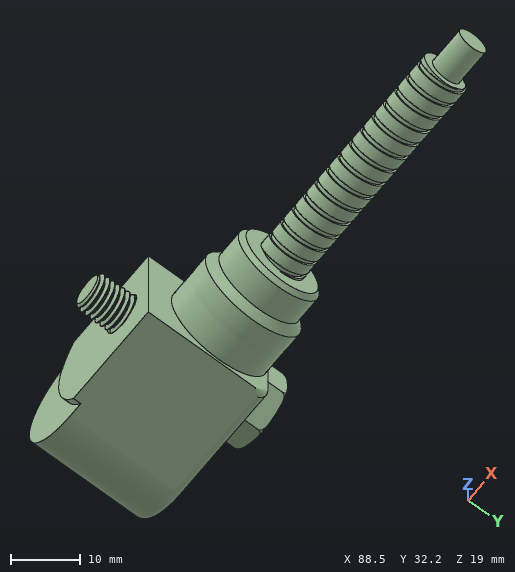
import cadquery as cq
import math


overall_length = 88.5
block_height = 19.0
block_length = 29.5
nose_radius = block_height / 2
nose_tip_x = -23.4
nose_center_x = nose_tip_x + nose_radius
block_end_x = nose_tip_x + block_length
back_y = 8.85
block_depth = 21.8
front_y = back_y - block_depth
back_fillet = 1.3
corner_radius = 2.2
faded_corner_radius = 0.1
corner_fade_length = 2.2

pad_radius = 14.8
pad_height = 1.3
bolt_hole_diameter = 6.7

neck_diameter = 17.4
ring_diameter = 17.5
collar_diameter = 14.8
neck_length = 4.4
ring_taper_length = 0.8
ring_length = 2.7
shoulder_length = (ring_diameter - collar_diameter) / 2
collar_length = 5.3
collar_chamfer = 0.8

conduit_diameter = 7.9
conduit_length = 38.15
spiral_pitch = 2.65
spiral_width = 0.7
spiral_depth = 0.35
spiral_phase = 1.1
cable_diameter = 5.0

lead_turns = 2
blank_margin_turns = 3

head_across_flats = 11.2
head_height = 4.0
head_rounding = 1.0
thread_diameter = 6.4
thread_root_diameter = 5.1
thread_length = 6.4
thread_turns = 7
thread_pitch = thread_length / thread_turns
thread_root_flat = thread_pitch / 8
thread_crest_flat = thread_pitch / 8
thread_phase = 0.59
bolt_tip_chamfer = 0.7


def grooved_rod(finished_rod, radius, root_radius, pitch, root_width, outer_width, start, length):
    """Cut a right-handed groove into a rod along +Z that ends at height `length`.

    The groove is centred on the XZ half-plane at height `start`. It is cut into a longer blank
    that is then trimmed to `finished_rod`, so that the groove runs cleanly off the end.
    """
    turns = (length - start) / pitch + lead_turns
    margin = blank_margin_turns * pitch
    blank_start = min(start, 0) - margin
    blank_end = start + turns * pitch + margin
    blank = (
        cq.Workplane("XY", origin=(0, 0, blank_start))
        .circle(radius)
        .extrude(blank_end - blank_start)
    )
    overshoot = 0.1
    slope = (outer_width - root_width) / (radius - root_radius)
    tip_radius = radius + overshoot
    tip_width = outer_width + slope * overshoot
    section = cq.Workplane("XZ").polyline([
        (root_radius, -root_width / 2),
        (tip_radius, -tip_width / 2),
        (tip_radius, tip_width / 2),
        (root_radius, root_width / 2),
    ]).close()
    helix = cq.Wire.makeHelix(pitch, pitch * turns, root_radius)
    groove = section.sweep(cq.Workplane(obj=helix), isFrenet=True).translate((0, 0, start))
    return blank.cut(groove).intersect(finished_rod)


def corner_waste_outline(radius, y, side):
    """Outline, at depth y, of the waste outside a rounding of the +X corner at the top or bottom."""
    corner_z = side * block_height / 2
    center_x = block_end_x - radius
    center_z = corner_z - side * radius
    mid_reach = radius * math.sqrt(0.5)
    arc_start = cq.Vector(center_x, y, corner_z)
    arc_middle = cq.Vector(center_x + mid_reach, y, center_z + side * mid_reach)
    arc_end = cq.Vector(block_end_x, y, center_z)
    corner = cq.Vector(block_end_x, y, corner_z)
    return cq.Wire.assembleEdges([
        cq.Edge.makeThreePointArc(arc_start, arc_middle, arc_end),
        cq.Edge.makeLine(arc_end, corner),
        cq.Edge.makeLine(corner, arc_start),
    ])


def make_corner_cutter(side):
    """Waste of a corner rounding that is full at the back face and fades out along -Y."""
    full = corner_waste_outline(corner_radius, back_y, side)
    faded = corner_waste_outline(faded_corner_radius, back_y - corner_fade_length, side)
    return cq.Workplane(obj=cq.Solid.makeLoft([full, faded], True))


def make_block():
    block = (
        cq.Workplane("XZ", origin=(0, back_y, 0))
        .moveTo(block_end_x, nose_radius)
        .lineTo(nose_center_x, nose_radius)
        .threePointArc((nose_tip_x, 0), (nose_center_x, -nose_radius))
        .lineTo(block_end_x, -nose_radius)
        .close()
        .extrude(block_depth)
        .faces(">Y")
        .edges("not(>X)")
        .fillet(back_fillet)
    )
    step = (
        cq.Workplane("XZ", origin=(0, front_y + pad_height, 0))
        .rect(2 * overall_length, 2 * block_height)
        .circle(pad_radius)
        .extrude(pad_height)
    )
    block = block.cut(step)
    for side in (1, -1):
        block = block.cut(make_corner_cutter(side))
    return block


def make_cable_entry():
    """Turned neck, ring and collar on the flat end of the block, and the X where they end."""
    neck_end = block_end_x + neck_length
    ring_start = neck_end + ring_taper_length
    ring_end = ring_start + ring_length
    collar_start = ring_end + shoulder_length
    collar_end = collar_start + collar_length
    entry = (
        cq.Workplane("XY")
        .moveTo(block_end_x, 0)
        .lineTo(block_end_x, neck_diameter / 2)
        .lineTo(neck_end, neck_diameter / 2)
        .lineTo(ring_start, ring_diameter / 2)
        .lineTo(ring_end, ring_diameter / 2)
        .lineTo(collar_start, collar_diameter / 2)
        .lineTo(collar_end, collar_diameter / 2)
        .lineTo(collar_end, 0)
        .close()
        .revolve(360, (0, 0, 0), (1, 0, 0))
        .faces(">X")
        .edges()
        .chamfer(collar_chamfer)
    )
    return entry, collar_end


def make_conduit(start_x):
    radius = conduit_diameter / 2
    conduit = cq.Workplane("XY").circle(radius).extrude(conduit_length)
    grooved = grooved_rod(
        conduit, radius, radius - spiral_depth, spiral_pitch, spiral_width, spiral_width,
        spiral_phase - lead_turns * spiral_pitch, conduit_length,
    )
    along_x = cq.Plane(origin=(start_x, 0, 0), xDir=(0, 1, 0), normal=(1, 0, 0))
    return cq.Workplane(obj=grooved.val().moved(along_x.location))


def make_housing():
    entry, collar_end = make_cable_entry()
    cable_end = nose_tip_x + overall_length
    cable = (
        cq.Workplane("YZ", origin=(collar_end, 0, 0))
        .circle(cable_diameter / 2)
        .extrude(cable_end - collar_end)
    )
    bolt_hole = (
        cq.Workplane("XZ", origin=(0, back_y, 0))
        .circle(bolt_hole_diameter / 2)
        .extrude(block_depth)
    )
    return make_block().union(entry).cut(bolt_hole).union(make_conduit(collar_end)).union(cable)


def make_bolt():
    """Hexagon bolt built along +Z from the underside of its head, then turned to point along -Y."""
    across_corners = head_across_flats / math.cos(math.pi / 6)
    rounded_blank = (
        cq.Workplane("XY")
        .circle(across_corners / 2)
        .extrude(-head_height)
        .faces("<Z")
        .edges()
        .fillet(head_rounding)
    )
    head = (
        cq.Workplane("XY")
        .transformed(rotate=(0, 0, 90))
        .polygon(6, across_corners)
        .extrude(-head_height)
        .intersect(rounded_blank)
    )
    shank_length = block_depth + thread_length
    shank = (
        cq.Workplane("XY")
        .circle(thread_diameter / 2)
        .extrude(shank_length)
        .faces(">Z")
        .edges()
        .chamfer(bolt_tip_chamfer)
    )
    threaded = grooved_rod(
        shank, thread_diameter / 2, thread_root_diameter / 2, thread_pitch,
        thread_root_flat, thread_pitch - thread_crest_flat,
        block_depth + thread_phase - lead_turns * thread_pitch, shank_length,
    )
    bolt = head.union(threaded)
    along_bolt = cq.Plane(origin=(0, back_y, 0), xDir=(1, 0, 0), normal=(0, -1, 0))
    return cq.Workplane(obj=bolt.val().moved(along_bolt.location))


housing = make_housing()
bolt = make_bolt()
result = cq.Compound.makeCompound([housing.solids().val(), bolt.solids().val()])